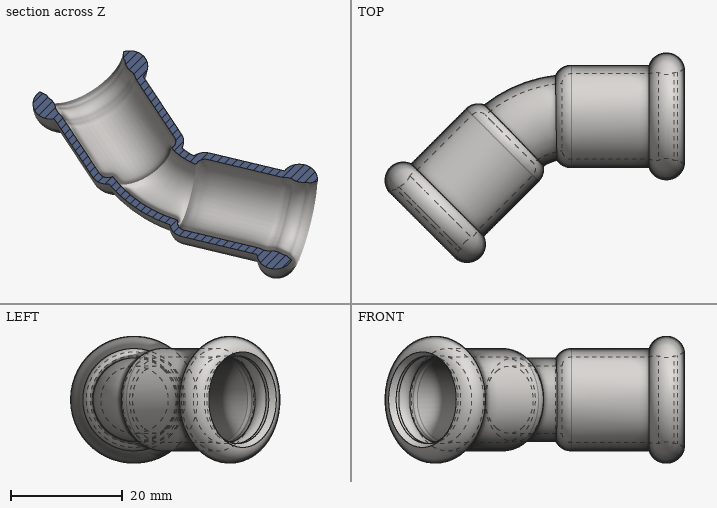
import cadquery as cq
import math

bend_angle = 45.0
arm_length = 27.45
wall = 1.5

body_radius = 18.3 / 2
bead_radius = 22.7 / 2
bead_width = 6.55
body_end = 20.25
shoulder_radius = 3.1

bore_radius = 15.3 / 2
lip_radius = 15.7 / 2
mouth_radius = 8.55
lip_start = 1.25
seal_half_width = 1.4
seal_height = 0.3
lip_end = 5.5
bore_start = 6.35

tube_radius = 7.5
tube_bore_radius = tube_radius - wall
bend_start = arm_length - body_end
bend_radius = bend_start / math.tan(math.radians(bend_angle / 2))

bead_section_radius = bead_width / 2
bead_centre_radius = bead_radius - bead_section_radius


def point(depth, radius):
    """Place a profile point by its depth from the mouth and its radius; the arm lies along +X."""
    return (arm_length - depth, radius)


def revolve_arm(profile):
    """Turn a closed half profile about the X axis."""
    return profile.close().revolve(360, (0, 0, 0), (1, 0, 0))


def socket_outside():
    """Straight body with a rounded shoulder, plus the rolled bead at the mouth."""
    diagonal = shoulder_radius * math.sqrt(0.5)
    inner_end = body_end + shoulder_radius
    tip_radius = body_radius - shoulder_radius
    body = revolve_arm(
        cq.Workplane("XY")
        .moveTo(*point(bead_section_radius, 0))
        .lineTo(*point(bead_section_radius, body_radius))
        .lineTo(*point(body_end, body_radius))
        .threePointArc(
            point(body_end + diagonal, tip_radius + diagonal),
            point(inner_end, tip_radius),
        )
        .lineTo(*point(inner_end, 0))
    )
    bead = revolve_arm(
        cq.Workplane("XY")
        .moveTo(*point(0, 0))
        .lineTo(*point(0, bead_centre_radius))
        .threePointArc(
            point(bead_section_radius, bead_radius),
            point(bead_width, bead_centre_radius),
        )
        .lineTo(*point(bead_width, 0))
    )
    return body.union(bead)


def socket_inside():
    """Tapered mouth, rounded seal ridge inside the bead, pipe bore and rounded inner shoulder."""
    inner_shoulder = bore_radius - tube_bore_radius
    diagonal = inner_shoulder * math.sqrt(0.5)
    return revolve_arm(
        cq.Workplane("XY")
        .moveTo(*point(0, 0))
        .lineTo(*point(0, mouth_radius))
        .lineTo(*point(lip_start, lip_radius))
        .lineTo(*point(bead_section_radius - seal_half_width, lip_radius))
        .threePointArc(
            point(bead_section_radius, lip_radius - seal_height),
            point(bead_section_radius + seal_half_width, lip_radius),
        )
        .lineTo(*point(lip_end, lip_radius))
        .lineTo(*point(bore_start, bore_radius))
        .lineTo(*point(body_end, bore_radius))
        .threePointArc(
            point(body_end + diagonal, tube_bore_radius + diagonal),
            point(body_end + inner_shoulder, tube_bore_radius),
        )
        .lineTo(*point(body_end + inner_shoulder, 0))
    )


def bent_tube(radius):
    """Round bar bent from the shoulder of one socket to that of the other."""
    return (
        cq.Workplane("YZ", origin=(bend_start, 0, 0))
        .circle(radius)
        .revolve(bend_angle, (-bend_radius, 0, 0), (-bend_radius, 1, 0))
    )


def both_arms(arm):
    """Join an arm along +X to its copy turned to the far end of the bend."""
    return arm.union(arm.rotate((0, 0, 0), (0, 0, 1), 180 + bend_angle))


outside = both_arms(socket_outside()).union(bent_tube(tube_radius))
first_cavity = socket_inside()
second_cavity = first_cavity.rotate((0, 0, 0), (0, 0, 1), 180 + bend_angle)
result = outside.cut(first_cavity).cut(second_cavity).cut(bent_tube(tube_bore_radius))